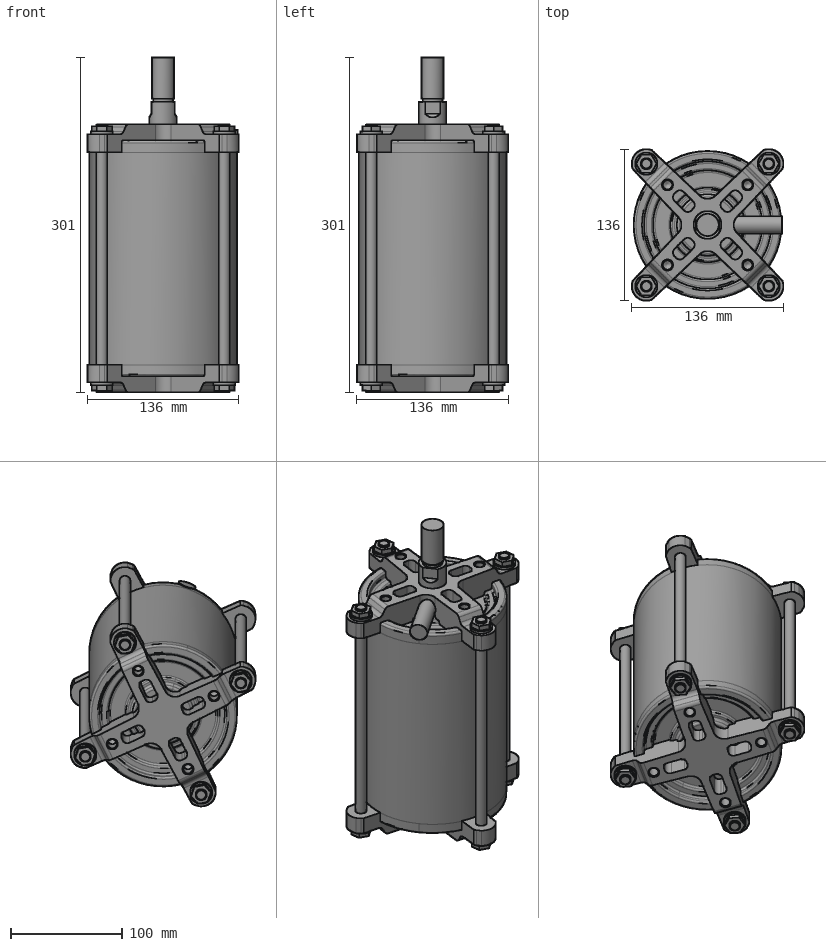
import cadquery as cq
import math


motor_length = 241.0
frame_height = 25.0
can_diameter = 133.0
envelope = 136.0

rim_height = 10.5
rim_fillet = 2.0
rim_step_radius = 57.2
rim_step_round = 1.8
ledge_height = 3.8
ledge_step_radius = 49.1
ledge_step_round = 1.75
boss_lower_step_radius = 33.5
boss_lower_step_round = 1.5
boss_lower_height = 3.2
boss_upper_step_radius = 27.6
boss_upper_step_round = 2.3
boss_upper_height = 8.0

arm_angles = (45.0, 135.0, 225.0, 315.0)
arm_root_half_width = 13.9
arm_tip_half_width = 12.05
hub_fillet = 10.0
lug_offset = 55.0
lug_radius = 13.2
lug_drop = 9.0
step_foot_reach = 64.2
step_angle = 60.0
step_foot_fillet = 5.0
step_brow_fillet = 4.5

slot_inner_reach = 19.5
slot_length = 21.4
slot_width = 11.5
slot_corner = 4.5
thread_offset = 36.0
thread_bore = 8.38
thread_mouth = 10.0
thread_depth = 15.0
drill_point_angle = 118.0

rod_diameter = 10.0
rod_tip_diameter = 8.57
washer_diameter = 20.0
washer_thickness = 2.5
nut_across_flats = 16.0
nut_thickness = 4.8

cable_diameter = 16.0
cable_axis_height = 12.0
cable_end = 67.0

shaft_diameter = 20.0
shaft_extension = 60.0
collar_diameter = 25.0
collar_height = 20.0
groove_diameter = 18.0
groove_width = 3.0
flat_half_span = 10.5
flat_runout_angle = 60.0
flat_height = 10.5

can_radius = can_diameter / 2
can_length = motor_length - 2 * frame_height
rod_reach = lug_offset * math.sqrt(2)
thread_reach = thread_offset * math.sqrt(2)
lug_height = frame_height - lug_drop
shaft_base = motor_length - frame_height
rod_positions = [(x, y) for x in (-lug_offset, lug_offset) for y in (-lug_offset, lug_offset)]

arm_tip_reach = rod_reach + math.sqrt(lug_radius**2 - arm_tip_half_width**2)
arm_taper = (arm_root_half_width - arm_tip_half_width) / (arm_tip_reach - arm_root_half_width)
arm_axis_half_width = arm_root_half_width * (1 + arm_taper)
hub_corner_reach = arm_root_half_width * math.sqrt(2)


def disc(diameter, height, base=0.0):
    return cq.Workplane("XY").workplane(offset=base).circle(diameter / 2).extrude(height)


def rounded_step(profile, wall_radius, low, high, rounding, outward):
    """Carries a profile along a wall whose foot and brow are quarter rounds.

    The profile runs toward the axis: down the wall if it rises outward (outward = 1), up the
    wall if it rises inward (outward = -1).
    """
    lean = rounding * math.sqrt(0.5)
    foot_side = -outward
    foot_centre = (wall_radius + foot_side * rounding, low + rounding)
    brow_centre = (wall_radius - foot_side * rounding, high - rounding)
    foot = [
        (foot_centre[0], low),
        (foot_centre[0] - foot_side * lean, foot_centre[1] - lean),
        (wall_radius, foot_centre[1]),
    ]
    brow = [
        (wall_radius, brow_centre[1]),
        (brow_centre[0] + foot_side * lean, brow_centre[1] + lean),
        (brow_centre[0], high),
    ]
    path = foot + brow
    if outward == 1:
        path.reverse()
    start, first_mid, wall_start, wall_end, second_mid, end = path
    return (
        profile
        .lineTo(*start)
        .threePointArc(first_mid, wall_start)
        .lineTo(*wall_end)
        .threePointArc(second_mid, end)
    )


def end_plate():
    """Stepped rim and stepped centre boss; the floor between them is the end of the can."""
    rim_lean = rim_fillet * math.sqrt(0.5)
    rim = (
        cq.Workplane("XZ")
        .moveTo(can_radius, 0)
        .lineTo(can_radius, rim_height - rim_fillet)
        .threePointArc(
            (can_radius - rim_fillet + rim_lean, rim_height - rim_fillet + rim_lean),
            (can_radius - rim_fillet, rim_height),
        )
    )
    rim = rounded_step(rim, rim_step_radius, ledge_height, rim_height, rim_step_round, 1)
    rim = rounded_step(rim, ledge_step_radius, 0, ledge_height, ledge_step_round, 1)
    rim = rim.close().revolve(360, (0, 0, 0), (0, 1, 0))

    boss = cq.Workplane("XZ").moveTo(0, 0)
    boss = rounded_step(
        boss, boss_lower_step_radius, 0, boss_lower_height, boss_lower_step_round, -1
    )
    boss = rounded_step(
        boss, boss_upper_step_radius, boss_lower_height, boss_upper_height, boss_upper_step_round, -1
    )
    boss = (
        boss
        .lineTo(0, boss_upper_height)
        .close()
        .revolve(360, (0, 0, 0), (0, 1, 0))
    )
    return rim, boss


def arm():
    """One tapered arm along +X that steps down to a round lug."""
    bar = (
        cq.Workplane("XY")
        .moveTo(0, -arm_axis_half_width)
        .lineTo(arm_tip_reach, -arm_tip_half_width)
        .threePointArc((rod_reach + lug_radius, 0), (arm_tip_reach, arm_tip_half_width))
        .lineTo(0, arm_axis_half_width)
        .close()
        .extrude(frame_height)
    )
    step_run = lug_drop / math.tan(math.radians(step_angle))
    side_profile = (
        cq.Workplane("XZ")
        .polyline([
            (0, 0),
            (envelope, 0),
            (envelope, lug_height),
            (step_foot_reach, lug_height),
            (step_foot_reach - step_run, frame_height),
            (0, frame_height),
        ])
        .close()
        .extrude(envelope / 2, both=True)
    )
    brow = cq.selectors.NearestToPointSelector((step_foot_reach - step_run, 0, frame_height))
    foot = cq.selectors.NearestToPointSelector((step_foot_reach, 0, lug_height))
    rounded = side_profile.edges("|Y").edges(foot).fillet(step_foot_fillet)
    rounded = rounded.edges("|Y").edges(brow).fillet(step_brow_fillet)
    return bar.intersect(rounded)


def arm_slot():
    return (
        cq.Workplane("XY")
        .center(slot_inner_reach + slot_length / 2, 0)
        .rect(slot_length, slot_width)
        .extrude(frame_height)
        .edges("|Z")
        .fillet(slot_corner)
    )


def threaded_hole():
    """Blind hole with a drill point and a countersunk mouth, opening on the arm face."""
    bore_radius = thread_bore / 2
    mouth_radius = thread_mouth / 2
    floor = frame_height - thread_depth
    point = bore_radius / math.tan(math.radians(drill_point_angle / 2))
    return (
        cq.Workplane("XZ")
        .moveTo(0, frame_height)
        .lineTo(mouth_radius, frame_height)
        .lineTo(bore_radius, frame_height - (mouth_radius - bore_radius))
        .lineTo(bore_radius, floor)
        .lineTo(0, floor - point)
        .close()
        .revolve(360, (0, 0, 0), (0, 1, 0))
        .translate((thread_reach, 0, 0))
    )


def on_each_arm(feature):
    """Copies of a feature made along +X, one turned onto each arm."""
    return [feature.rotate((0, 0, 0), (0, 0, 1), angle) for angle in arm_angles]


def spider():
    """The four arms, joined at a hub with rounded corners, with their openings."""
    first_arm, *other_arms = on_each_arm(arm())
    cross = first_arm
    for turned in other_arms:
        cross = cross.union(turned)
    square = cq.Workplane("XY").rect(envelope, envelope).extrude(frame_height)
    cross = cross.intersect(square)
    box_reach = hub_corner_reach + hub_fillet / 2
    corner_box = cq.selectors.BoxSelector(
        (-box_reach, -box_reach, 0), (box_reach, box_reach, frame_height)
    )
    cross = cross.edges("|Z").edges(corner_box).fillet(hub_fillet)
    for opening in on_each_arm(arm_slot()) + on_each_arm(threaded_hole()):
        cross = cross.cut(opening)
    return cross


def rod_end():
    """Washer, nut and chamfered rod tip that stand on a lug, over the rod inside the lug."""
    tip_chamfer = (rod_diameter - rod_tip_diameter) / 2
    rod = disc(rod_diameter, frame_height).faces(">Z").chamfer(tip_chamfer)
    washer = disc(washer_diameter, washer_thickness, lug_height)
    nut = (
        cq.Workplane("XY")
        .workplane(offset=lug_height + washer_thickness)
        .polygon(6, nut_across_flats / math.cos(math.pi / 6))
        .extrude(nut_thickness)
    )
    return rod.union(washer).union(nut)


def end_frame():
    rim, boss = end_plate()
    frame = spider().union(rim, clean=False).union(boss, clean=False)
    for x, y in rod_positions:
        frame = frame.union(rod_end().translate((x, y, 0)), clean=False)
    return frame


def cable():
    return (
        cq.Workplane("YZ")
        .center(0, can_length + frame_height + cable_axis_height)
        .circle(cable_diameter / 2)
        .extrude(cable_end)
    )


def build_housing():
    frame = end_frame()
    upper_frame = frame.translate((0, 0, frame_height + can_length))
    lower_frame = frame.mirror("XY").translate((0, 0, frame_height))
    body = disc(can_diameter, can_length, frame_height)
    for x, y in rod_positions:
        rod = disc(rod_diameter, can_length, frame_height).translate((x, y, 0))
        body = body.union(rod, clean=False)
    body = body.union(upper_frame, clean=False).union(lower_frame, clean=False)
    body = body.union(cable(), clean=False)
    return body.cut(disc(collar_diameter, frame_height, shaft_base), clean=False)


def build_shaft():
    """Journal and collar in the hub, two wrench flats, a groove and the output end."""
    collar_top = motor_length + collar_height
    groove_top = collar_top + groove_width
    flat_foot = collar_top - flat_height
    runout_reach = collar_diameter - flat_half_span
    runout_foot = flat_foot - runout_reach * math.tan(math.radians(flat_runout_angle))
    collar = disc(collar_diameter, frame_height + collar_height, shaft_base)
    for side in (1, -1):
        flat = (
            cq.Workplane("XZ")
            .polyline([
                (side * flat_half_span, collar_top),
                (side * flat_half_span, flat_foot),
                (side * collar_diameter, runout_foot),
                (side * collar_diameter, collar_top),
            ])
            .close()
            .extrude(collar_diameter, both=True)
        )
        collar = collar.cut(flat)
    groove = disc(groove_diameter, groove_width, collar_top)
    output = disc(shaft_diameter, motor_length + shaft_extension - groove_top, groove_top)
    return collar.union(groove).union(output)


housing = build_housing()
shaft = build_shaft()

result = cq.Compound.makeCompound([housing.val(), shaft.val()])